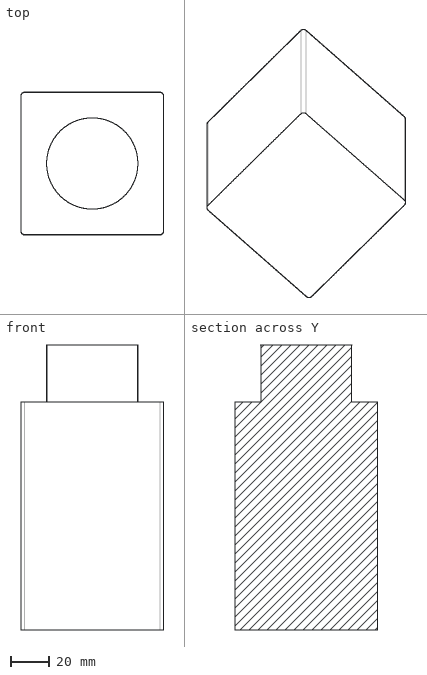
import cadquery as cq

total_height = 150.0
body_width = 75.0
body_height = 120.0
corner_radius = 2.0
neck_diameter = 48.0
neck_height = total_height - body_height

body = (
    cq.Workplane("XY")
    .rect(body_width, body_width)
    .extrude(body_height)
    .edges("|Z")
    .fillet(corner_radius)
)

result = body.faces(">Z").workplane().circle(neck_diameter / 2).extrude(neck_height)